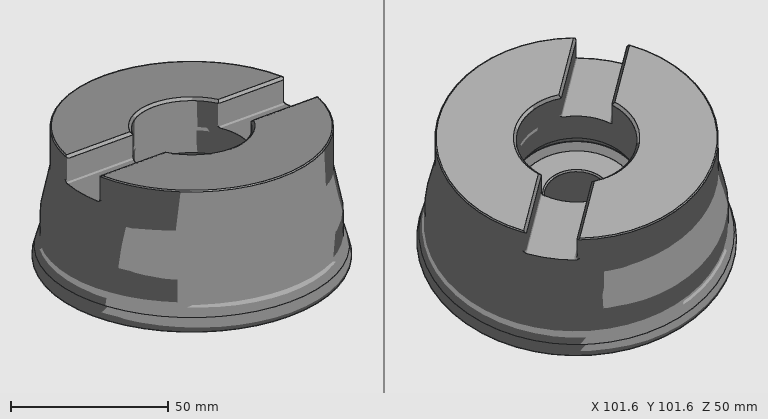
import cadquery as cq
import math

TOTAL_HEIGHT = 50.0
SHANK_BOTTOM = 34.9
SKIRT_TOP = 20.2
RIM_TOP = 10.1
RING_TOP = 7.3
RIM_WIDEST = 4.2
RING_BOTTOM = 0.6

RIM_RADIUS = 50.8
SKIRT_RADIUS = 96.3 / 2
SHANK_RADIUS = 90.0 / 2

RIM_SIDE_ANGLE = 15.0
RIM_BASE_ANGLE = 20.0
SHOULDER_ANGLE = 45.0
RIM_ROUND = 2.7
CONE_ROUND = 5.1
SHOULDER_INNER_ROUND = 0.9
SHOULDER_OUTER_ROUND = 1.4
TOP_CHAMFER = 0.4

BORE_MOUTH_RADIUS = 38.3 / 2
BORE_RADIUS = 38.1 / 2
BORE_CHAMFER = 0.9
BORE_TAPER_TOP = 39.6
BORE_TAPER_BOTTOM = 38.5
GROOVE_TOP = 30.6
GROOVE_UPPER_CORNER = 27.4
GROOVE_LOWER_CORNER = 27.1
GROOVE_DEPTH = 1.8
BORE_FLOOR = 24.8
HOLE_RADIUS = 20.5 / 2
HOLE_CHAMFER = 0.5

SLOT_WIDTH = 16.2
SLOT_DEPTH = 9.5
SLOT_FLOOR_FILLET = 0.8
SLOT_MOUTH_ROUND = 0.8
SLOT_CHAMFER = 0.9


def tan(angle):
    return math.tan(math.radians(angle))


def rim_round_point(angle):
    """Point (radius, height) on the rim rounding, at an angle above horizontal."""
    turn = math.radians(angle)
    centre_radius = RIM_RADIUS - RIM_ROUND
    return centre_radius + RIM_ROUND * math.cos(turn), RIM_WIDEST + RIM_ROUND * math.sin(turn)


ROUND_TOP = rim_round_point(RIM_SIDE_ANGLE)
ROUND_BOTTOM = rim_round_point(RIM_BASE_ANGLE - 90)


def rim_side_radius(height):
    return ROUND_TOP[0] - (height - ROUND_TOP[1]) * tan(RIM_SIDE_ANGLE)


def rim_base_radius(height):
    return ROUND_BOTTOM[0] - (ROUND_BOTTOM[1] - height) / tan(RIM_BASE_ANGLE)


RING_TOP_EDGE = (rim_side_radius(RING_TOP), RING_TOP)
RING_BOTTOM_EDGE = (rim_base_radius(RING_BOTTOM), RING_BOTTOM)


def round_corner(outline, before, corner, after, radius):
    """Continue an outline along a line and round its corner with a tangent arc."""
    corner_point = cq.Vector(*corner)
    back = (cq.Vector(*before) - corner_point).normalized()
    ahead = (cq.Vector(*after) - corner_point).normalized()
    half_angle = back.getAngle(ahead) / 2
    setback = radius / math.tan(half_angle)
    to_middle = radius / math.sin(half_angle) - radius
    start = corner_point + back * setback
    middle = corner_point + (back + ahead).normalized() * to_middle
    end = corner_point + ahead * setback
    return (
        outline.lineTo(start.x, start.y)
        .threePointArc((middle.x, middle.y), (end.x, end.y))
    )


def make_blank():
    """Solid of revolution of the body, with the conical seat of the cutting ring."""
    rim_corner = (rim_side_radius(RIM_TOP), RIM_TOP)
    shoulder_rise = (rim_corner[0] - SKIRT_RADIUS) * tan(SHOULDER_ANGLE)
    shoulder_corner = (SKIRT_RADIUS, RIM_TOP + shoulder_rise)
    skirt_corner = (SKIRT_RADIUS, SKIRT_TOP)
    shank_corner = (SHANK_RADIUS, SHANK_BOTTOM)
    shank_end = (SHANK_RADIUS, TOTAL_HEIGHT - TOP_CHAMFER)

    outline = (
        cq.Workplane("XZ")
        .moveTo(0, 0)
        .lineTo(rim_base_radius(0), 0)
        .lineTo(*RING_BOTTOM_EDGE)
        .lineTo(*RING_TOP_EDGE)
    )
    outline = round_corner(outline, RING_TOP_EDGE, rim_corner, shoulder_corner, SHOULDER_OUTER_ROUND)
    outline = round_corner(outline, rim_corner, shoulder_corner, skirt_corner, SHOULDER_INNER_ROUND)
    outline = round_corner(outline, shoulder_corner, skirt_corner, shank_corner, CONE_ROUND)
    outline = round_corner(outline, skirt_corner, shank_corner, shank_end, CONE_ROUND)
    return (
        outline.lineTo(*shank_end)
        .lineTo(SHANK_RADIUS - TOP_CHAMFER, TOTAL_HEIGHT)
        .lineTo(0, TOTAL_HEIGHT)
        .close()
        .revolve()
    )


def make_bore():
    """Stepped bore with its undercut groove and the through hole, as a cutting solid."""
    groove_radius = BORE_RADIUS + GROOVE_DEPTH
    return (
        cq.Workplane("XZ")
        .moveTo(0, 0)
        .lineTo(HOLE_RADIUS, 0)
        .lineTo(HOLE_RADIUS, BORE_FLOOR - HOLE_CHAMFER)
        .lineTo(HOLE_RADIUS + HOLE_CHAMFER, BORE_FLOOR)
        .lineTo(BORE_RADIUS, BORE_FLOOR)
        .lineTo(groove_radius, GROOVE_LOWER_CORNER)
        .lineTo(groove_radius, GROOVE_UPPER_CORNER)
        .lineTo(BORE_RADIUS, GROOVE_TOP)
        .lineTo(BORE_RADIUS, BORE_TAPER_BOTTOM)
        .lineTo(BORE_MOUTH_RADIUS, BORE_TAPER_TOP)
        .lineTo(BORE_MOUTH_RADIUS, TOTAL_HEIGHT - BORE_CHAMFER)
        .lineTo(BORE_MOUTH_RADIUS + BORE_CHAMFER, TOTAL_HEIGHT)
        .lineTo(0, TOTAL_HEIGHT)
        .close()
        .revolve()
    )


def slot_mouth(side_radius, corner_radius, material_inside):
    """Points of the rounded corner between the +X slot wall and a round side of the body.

    Returns the end on the wall, a middle point and the end on the round side.
    material_inside is 1 where the round side is the outside of the body and -1 for the bore.
    """
    centre_x = SLOT_WIDTH / 2 + corner_radius
    centre_distance = side_radius - material_inside * corner_radius
    centre = cq.Vector(centre_x, math.sqrt(centre_distance**2 - centre_x**2))
    to_wall = cq.Vector(-1, 0)
    to_side = centre.normalized() * material_inside
    to_middle = (to_wall + to_side).normalized()
    return [centre + direction * corner_radius for direction in (to_wall, to_middle, to_side)]


def slot_outline(height):
    """Plan of the slot on the +Y side, from the bore to beyond the outside, with rounded mouths."""
    wall_start, bore_middle, bore_end = slot_mouth(BORE_MOUTH_RADIUS, SLOT_MOUTH_ROUND, -1)
    wall_end, outer_middle, outer_end = slot_mouth(SHANK_RADIUS, SLOT_MOUTH_ROUND, 1)
    return (
        cq.Workplane("XY", origin=(0, 0, height))
        .moveTo(bore_end.x, bore_end.y)
        .threePointArc((bore_middle.x, bore_middle.y), (wall_start.x, wall_start.y))
        .lineTo(wall_end.x, wall_end.y)
        .threePointArc((outer_middle.x, outer_middle.y), (outer_end.x, outer_end.y))
        .lineTo(outer_end.x, RIM_RADIUS)
        .lineTo(-outer_end.x, RIM_RADIUS)
        .lineTo(-outer_end.x, outer_end.y)
        .threePointArc((-outer_middle.x, outer_middle.y), (-wall_end.x, wall_end.y))
        .lineTo(-wall_start.x, wall_start.y)
        .threePointArc((-bore_middle.x, bore_middle.y), (-bore_end.x, bore_end.y))
        .close()
    )


def make_slot_half():
    """One side of the slot along Y, with filleted floor corners, as a cutting solid."""
    return (
        slot_outline(TOTAL_HEIGHT - SLOT_DEPTH)
        .extrude(SLOT_DEPTH)
        .edges("<Z")
        .edges("not |X")
        .fillet(SLOT_FLOOR_FILLET)
    )


def make_slot_flare():
    """Wedge along Y that chamfers the top edges of both slot walls, as a cutting solid."""
    half_width = SLOT_WIDTH / 2
    chamfer_bottom = TOTAL_HEIGHT - SLOT_CHAMFER
    return (
        cq.Workplane("XZ")
        .moveTo(-half_width, chamfer_bottom)
        .lineTo(-half_width - SLOT_CHAMFER, TOTAL_HEIGHT)
        .lineTo(half_width + SLOT_CHAMFER, TOTAL_HEIGHT)
        .lineTo(half_width, chamfer_bottom)
        .close()
        .extrude(RIM_RADIUS, both=True)
    )


def make_cutter_body():
    slot_half = make_slot_half()
    return (
        make_blank()
        .cut(make_bore())
        .cut(slot_half)
        .cut(slot_half.mirror("XZ"))
        .cut(make_slot_flare())
    )


def make_cutting_ring():
    """Ring on the conical seat that forms the rounded edge of the rim."""
    return (
        cq.Workplane("XZ")
        .moveTo(*RING_BOTTOM_EDGE)
        .lineTo(*ROUND_BOTTOM)
        .threePointArc((RIM_RADIUS, RIM_WIDEST), ROUND_TOP)
        .lineTo(*RING_TOP_EDGE)
        .close()
        .revolve()
    )


cutter_body = make_cutter_body()
cutting_ring = make_cutting_ring()

result = cq.Compound.makeCompound([cutter_body.val(), cutting_ring.val()])